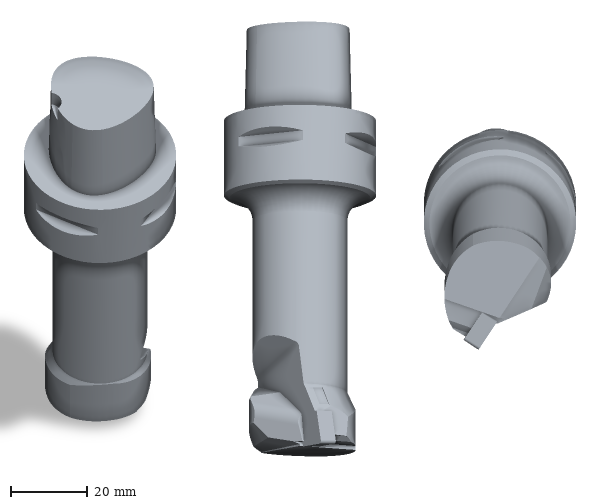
import cadquery as cq
import math

overall_length = 114.0
shank_length = 23.9
tip_z = shank_length - overall_length
big = 68.4

shank_radius = 14.0
lobe_height = 0.9
shank_taper = 1 / 40
lobe_half_angle = 20
key_radius = 3.4
key_center_y = -14.0
key_depth = 4.3

flange_diameter = 40.0
flange_radius = flange_diameter / 2
flange_height = 20.1
rim_height = 0.7
neck_fillet = 6.0
groove_floor_distance = 17.7
groove_floor_width = 2.5
groove_side_angle = 30
groove_z = -8.1
groove_angles = (45, 135, 225, 315)

bar_diameter = 25.0
bar_radius = bar_diameter / 2
bar_bottom_z = -73.2
head_cone_angle = 25
head_back_radius = 13.3
head_left = (-18.8, 0)
head_front_arcs = [
    ((-13.3, -9.2), (-0.6, -14.0)),
    ((4.5, -13.0), (8.4, -10.5)),
    ((11.5, -5.5), (12.7, 0)),
]
head_flute_side = (-10.3, 9.7)
lead_angle = 5

rake_rise_x = 0.23
rake_rise_z = 0.11

insert_side = 8.9
insert_angle = 80
insert_thickness = 4.7
insert_corner_radius = 0.8
nose_x = -17.3
nose_y = 0.1
nose_drop = 0.08
insert_overhang = 0.51
holder_clearance = 0.2

side_relief_length = 17.1
end_relief_x = -7.4
end_relief_z = -87.9
end_relief_ramp = [(-12.7, -88.1), (-14.5, -87.1)]

flute_end_z = -71.1
flute_end_slope_x = -0.45
flute_end_slope_y = 0.8
flute_fillet = 1.8

clamp_foot = [(8.0, -70.7), (-0.7, -73.4), (-11.2, -81.9), (-9.8, -87.8)]
clamp_leans = (0.25, 0.45, 1.5)
clamp_tip_fillet = 4.6
clamp_tip_flat = [(-9.7, -78.7), (-9.3, -87.8)]
clamp_tip_flat_lean = 0.3
clamp_underside = [
    ((6.4, -87.3), 0.3),
    ((9.8, -86.3), 1.2),
]

flat_depth = 0.28
flat_top = 15.3
recess_depth = 0.17
recess_bottom = 10.7
recess_margin = 2.0


def rake_y(x, z):
    """Height in Y of the rake plane at a given X and Z."""
    return nose_y + rake_rise_x * (x - nose_x) + rake_rise_z * (z - tip_z)


def half_space(origin, normal):
    """Large block on the side of a plane to which the normal points."""
    return cq.Workplane(cq.Plane(origin=origin, normal=normal)).rect(2 * big, 2 * big).extrude(big)


lead_slope = math.tan(math.radians(lead_angle))
nose_point = (nose_x, nose_y, tip_z - nose_drop)
rake_normal = cq.Vector(-rake_rise_x, 1, -rake_rise_z)
edge_direction = cq.Vector(1, rake_rise_x + rake_rise_z * lead_slope, lead_slope)
rake_plane = cq.Plane(origin=nose_point, xDir=edge_direction, normal=rake_normal)


def above_rake_plane():
    return half_space(rake_plane.origin.toTuple(), rake_normal.toTuple())


def make_insert():
    a = math.radians(insert_angle)
    rise = (insert_side * math.cos(a), -insert_side * math.sin(a))
    return (
        cq.Workplane(rake_plane)
        .polyline([(0, 0), (insert_side, 0), (insert_side + rise[0], rise[1]), rise])
        .close()
        .extrude(-insert_thickness)
        .edges(cq.selectors.ParallelDirSelector(rake_normal))
        .edges("<Z or >Z")
        .fillet(insert_corner_radius)
    )


def shank_wire(radius, z):
    """Three lobed closed curve with one lobe towards +Y, split at the lobe edges."""
    def point(degrees):
        g = math.radians(degrees)
        x = radius * math.cos(g) - lobe_height * math.sin(2 * g)
        y = radius * math.sin(g) - lobe_height * math.cos(2 * g)
        return cq.Vector(x, y, z)

    steps = 8
    edges = []
    for crest in (90, 210, 330):
        lobe = (crest - lobe_half_angle, crest + lobe_half_angle)
        flat = (crest + lobe_half_angle, crest + 120 - lobe_half_angle)
        for start, end in (lobe, flat):
            points = [point(start + (end - start) * i / steps) for i in range(steps + 1)]
            edges.append(cq.Edge.makeSpline(points))
    return cq.Wire.assembleEdges(edges)


def make_shank():
    top_radius = shank_radius - shank_taper * shank_length
    wires = [shank_wire(shank_radius, 0), shank_wire(top_radius, shank_length)]
    shank = cq.Workplane(cq.Solid.makeLoft(wires, True))
    key = (
        cq.Workplane("XY", origin=(0, key_center_y, shank_length - key_depth))
        .circle(key_radius)
        .extrude(key_depth)
    )
    return shank.cut(key)


def make_turned_blank():
    """Flange, filleted neck, bar and the cone that widens to the head."""
    fillet_center_r = bar_radius + neck_fillet
    fillet_top_z = -flange_height - rim_height
    fillet_end_z = fillet_top_z - neck_fillet
    offset = neck_fillet * math.sqrt(0.5)
    cone_end_r = bar_radius + (bar_bottom_z - tip_z) * math.tan(math.radians(head_cone_angle))
    return (
        cq.Workplane("XZ")
        .lineTo(flange_radius, 0)
        .lineTo(flange_radius, -flange_height)
        .lineTo(fillet_center_r, fillet_top_z)
        .threePointArc((fillet_center_r - offset, fillet_end_z + offset), (bar_radius, fillet_end_z))
        .lineTo(bar_radius, bar_bottom_z)
        .lineTo(cone_end_r, tip_z)
        .lineTo(0, tip_z)
        .close()
        .revolve(360, (0, 0), (0, 1))
    )


def make_groove(angle):
    """Straight flat-bottomed groove across the flange rim."""
    depth = flange_radius - groove_floor_distance
    half_floor = groove_floor_width / 2
    half_mouth = half_floor + depth * math.tan(math.radians(groove_side_angle))
    return (
        cq.Workplane("XZ")
        .polyline([
            (groove_floor_distance, groove_z - half_floor),
            (flange_radius, groove_z - half_mouth),
            (flange_radius, groove_z + half_mouth),
            (groove_floor_distance, groove_z + half_floor),
        ])
        .close()
        .extrude(flange_radius, both=True)
        .rotate((0, 0, 0), (0, 0, 1), angle)
    )


def make_head_envelope():
    """Outline of the head, with its end face tilted by the lead angle."""
    back = head_back_radius * math.sqrt(0.5)
    outline = cq.Workplane("XY", origin=(0, 0, tip_z)).moveTo(*head_left)
    for middle, end in head_front_arcs:
        outline = outline.threePointArc(middle, end)
    outline = outline.threePointArc((back, back), (0, head_back_radius))
    outline = outline.threePointArc(head_flute_side, head_left).close()
    envelope = outline.extrude(bar_bottom_z - tip_z)
    end_origin = (nose_x, 0, tip_z + holder_clearance)
    return envelope.cut(half_space(end_origin, (lead_slope, 0, -1)))


def make_flute():
    """Region above the rake plane and below the end wall, rounded where they meet."""
    wall_normal = cq.Vector(flute_end_slope_x, flute_end_slope_y, -1)
    region = above_rake_plane().intersect(half_space((0, 0, flute_end_z), wall_normal.toTuple()))
    corner = cq.selectors.ParallelDirSelector(wall_normal.cross(rake_normal))
    inmost = cq.selectors.DirectionMinMaxSelector(wall_normal + rake_normal, False)
    return region.edges(corner).edges(inmost).fillet(flute_fillet)


def clamp_wall(start, end, lean):
    """Origin and outward normal of the clamp nose wall that stands on one line of the foot."""
    (x1, z1), (x2, z2) = start, end
    origin = cq.Vector(x1, rake_y(x1, z1), z1)
    along = cq.Vector(x2, rake_y(x2, z2), z2) - origin
    up = rake_normal.normalized()
    return origin, up.cross(along).normalized() + up * lean


def make_clamp_nose():
    """Wedge left standing in the flute, leaning back from its foot on the rake plane."""
    walls = [clamp_wall(*wall) for wall in zip(clamp_foot, clamp_foot[1:], clamp_leans)]
    behind = [half_space(origin.toTuple(), (normal * -1).toTuple()) for origin, normal in walls]
    behind_top, behind_diagonal, behind_tip = behind
    diagonal_normal, tip_normal = walls[1][1].normalized(), walls[2][1].normalized()
    ridge = cq.selectors.ParallelDirSelector(diagonal_normal.cross(tip_normal))
    outermost = cq.selectors.DirectionMinMaxSelector(diagonal_normal + tip_normal, True)
    nose = above_rake_plane().intersect(behind_diagonal).intersect(behind_tip)
    nose = nose.edges(ridge).edges(outermost).fillet(clamp_tip_fillet)
    flat_origin, flat_normal = clamp_wall(*clamp_tip_flat, clamp_tip_flat_lean)
    nose = nose.intersect(behind_top).cut(half_space(flat_origin.toTuple(), flat_normal.toTuple()))
    for (y, z), slope in clamp_underside:
        nose = nose.cut(half_space((0, y, z), (0, slope, -1)))
    return nose


def make_side_relief():
    """Everything beyond a plane parallel to the insert's side flank."""
    a = math.radians(insert_angle)
    return (
        cq.Workplane(rake_plane)
        .transformed(rotate=(0, 0, -insert_angle), offset=(insert_overhang / math.sin(a), 0, 0))
        .moveTo(0, -big / 2)
        .rect(2 * side_relief_length, big)
        .extrude(big, both=True)
    )


def make_end_relief():
    """Step cut under the insert, with a ramp up to the side of the head."""
    ramp_start, ramp_end = end_relief_ramp
    outside_x = -flange_radius
    below_z = tip_z - 1.1
    return (
        cq.Workplane("XZ")
        .moveTo(end_relief_x, below_z)
        .lineTo(end_relief_x, end_relief_z)
        .lineTo(*ramp_start)
        .lineTo(*ramp_end)
        .lineTo(outside_x, ramp_end[1])
        .lineTo(outside_x, below_z)
        .close()
        .extrude(flange_radius, both=True)
    )


def make_cone_cut(depth, bottom, margin):
    """Flat in the cone above the insert, from the margin down to the level of the insert's underside."""
    a = math.radians(head_cone_angle)
    outward = (-math.cos(a), 0, math.sin(a))
    origin = (-bar_radius - depth * outward[0], 0, bar_bottom_z - depth * outward[2])
    strip = (
        cq.Workplane(rake_plane)
        .workplane(offset=-insert_thickness)
        .moveTo(0, -(flat_top + bottom) / 2)
        .rect(2 * insert_side, flat_top - bottom)
        .extrude(insert_thickness - margin)
    )
    return strip.intersect(half_space(origin, outward))


def make_holder(insert):
    blank = make_turned_blank()
    head_zone = cq.Workplane("XY", origin=(0, 0, tip_z)).rect(big, big).extrude(bar_bottom_z - tip_z)
    holder = blank.cut(head_zone).union(blank.intersect(make_head_envelope()))
    for angle in groove_angles:
        holder = holder.cut(make_groove(angle))
    holder = holder.cut(make_flute().cut(make_clamp_nose()))
    holder = holder.cut(make_side_relief()).cut(make_end_relief())
    holder = holder.cut(make_cone_cut(flat_depth, insert_side, 0))
    holder = holder.cut(make_cone_cut(flat_depth + recess_depth, recess_bottom, recess_margin))
    return holder.union(make_shank()).cut(insert)


insert = make_insert()
holder = make_holder(insert)

result = cq.Compound.makeCompound([holder.solids().val(), insert.solids().val()])